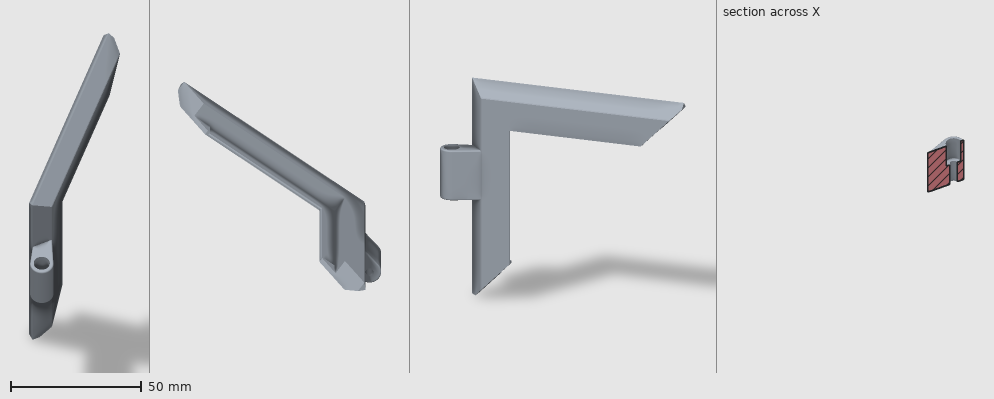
import cadquery as cq
import math

total_length = 97.5
frame_height = 87.0
lug_radius = 4.5
lug_reach = total_length - frame_height

frame_depth = 17.7
ridge_x = 2.1
back_x = 8.0
back_bevel = back_x - ridge_x
back_edge_break = 0.2
rebate_start = 11.3
rebate_floor_x = 6.1

channel_floor_x = 6.8
channel_end_gap = 16.6
lip_bevel = 0.5

lug_x = 8.1
lug_y = lug_radius - lug_reach
lug_top = -27.0
lug_height = 20.1
lug_rounding = 0.6
bore_diameter = 6.1
bore_depth = lug_height / 2
pin_hole_diameter = 3.0


def arm(section):
    """Extrude an (x, depth) section along Y to form the upper arm."""
    profile = [(x, -depth) for x, depth in section]
    bar = cq.Workplane("XZ").polyline(profile).close().extrude(-frame_height)
    mitred = [
        (0, 0), (frame_height, 0), (frame_height, -ridge_x),
        (frame_height - frame_depth + ridge_x, -frame_depth),
        (frame_depth, -frame_depth),
    ]
    envelope = cq.Workplane("YZ").polyline(mitred).close().extrude(back_x)
    return bar.intersect(envelope)


def both_arms(section, end_gap=0):
    """Join an upper arm with its reflection across the mitre plane."""
    upper = arm(section)
    if end_gap > 0:
        upper = upper.intersect(
            cq.Workplane("XY").box(2 * back_x, 2 * (frame_height - end_gap), 2 * frame_height)
        )
    turned = upper.rotate((0, 0, 0), (0, 1, -1), 180)
    return upper.union(turned.mirror("YZ"))


def make_frame():
    solid_section = [
        (ridge_x, 0), (0, ridge_x), (0, rebate_start),
        (rebate_floor_x, rebate_start), (rebate_floor_x, frame_depth),
        (back_x, frame_depth), (back_x, back_bevel + back_edge_break),
        (back_x - back_edge_break, back_bevel - back_edge_break),
    ]
    channel_section = [
        (rebate_floor_x, rebate_start), (channel_floor_x, rebate_start),
        (channel_floor_x, frame_depth - lip_bevel),
        (channel_floor_x + lip_bevel, frame_depth), (rebate_floor_x, frame_depth),
    ]
    return both_arms(solid_section).cut(both_arms(channel_section, channel_end_gap))


def make_lug():
    """Rounded arm whose sides run tangent from the frame to the barrel."""
    def tangent_point(x, y, side):
        distance = math.hypot(x - lug_x, y - lug_y)
        angle = math.atan2(y - lug_y, x - lug_x) + side * math.acos(lug_radius / distance)
        return (lug_x + lug_radius * math.cos(angle), lug_y + lug_radius * math.sin(angle))

    ridge_corner = (ridge_x, 0)
    back_corner = (back_x, back_bevel)
    lug = (
        cq.Workplane("XY").workplane(offset=lug_top - lug_height)
        .moveTo(*ridge_corner)
        .lineTo(*tangent_point(*ridge_corner, 1))
        .threePointArc((lug_x, -lug_reach), tangent_point(*back_corner, -1))
        .lineTo(*back_corner)
        .lineTo(ridge_x, back_bevel)
        .close().extrude(lug_height)
    )
    return lug.faces("|Z").edges().fillet(lug_rounding)


def barrel_cut(diameter, depth):
    """Cylinder reaching down from the top of the lug along the hinge axis."""
    return (
        cq.Workplane("XY", origin=(lug_x, lug_y, lug_top))
        .circle(diameter / 2).extrude(-depth)
    )


result = (
    make_frame().union(make_lug())
    .cut(barrel_cut(bore_diameter, bore_depth))
    .cut(barrel_cut(pin_hole_diameter, lug_height))
)